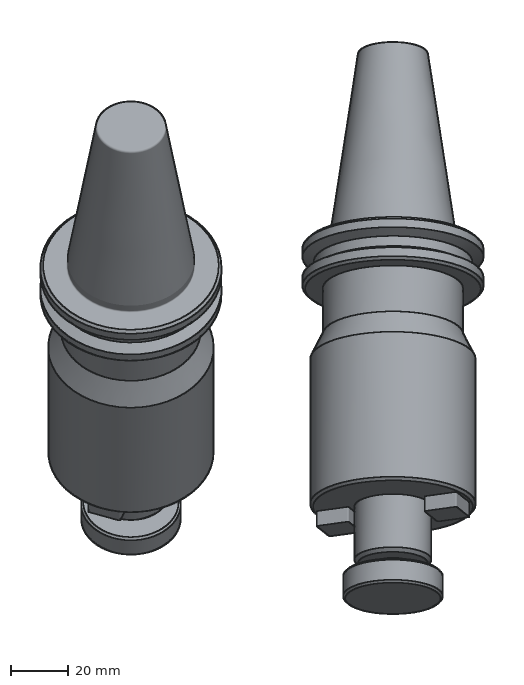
import cadquery as cq
import math

taper_length = 68.4
taper_rate = 7 / 24
gauge_radius = 44.45 / 2
tip_fillet = 0.8
taper_base_fillet = 0.5

flange_radius = 63.5 / 2
flange_top_z = -3.2
flange_bottom_z = -19.1
flange_chamfer = 1.0
groove_center_z = -11.1
groove_floor_width = 3.7
groove_floor_radius = 27.85
groove_flank_angle = 26

neck_radius = 49.2 / 2
neck_bottom_z = -36.1
body_radius = 58 / 2
body_top_z = -45.2
body_bottom_z = -100.0
body_chamfer = 1.0

pilot_radius = 27 / 2
pilot_length = 21.0
pilot_chamfer = 1.3

screw_end_z = -134.0
shank_radius = 12 / 2
head_radius = 35 / 2
head_height = 9.0
head_chamfer = 0.8
head_root_fillet = 0.5

key_width = 12.0
key_height = 5.5
key_outer_offset = 26.6
key_inner_offset = 14.4
key_corner_fillet = 0.4


def revolve_outline(profile):
    """Revolve a closed (radius, z) outline about the Z axis."""
    return cq.Workplane("XZ").polyline(profile).close().revolve(360, (0, 0), (0, 1))


def make_taper():
    """Tapered shank with a rounded tip and a short cylinder below the gauge plane."""
    tip_radius = gauge_radius - taper_length * taper_rate / 2
    profile = [
        (0, taper_length),
        (tip_radius, taper_length),
        (gauge_radius, 0),
        (gauge_radius, flange_top_z),
        (0, flange_top_z),
    ]
    return revolve_outline(profile).faces(">Z").edges().fillet(tip_fillet)


def make_flange():
    """Flange with chamfered rims and a V groove for the tool gripper."""
    flank_height = (flange_radius - groove_floor_radius) * math.tan(math.radians(groove_flank_angle))
    floor_top_z = groove_center_z + groove_floor_width / 2
    floor_bottom_z = groove_center_z - groove_floor_width / 2
    profile = [
        (0, flange_top_z),
        (flange_radius, flange_top_z),
        (flange_radius, floor_top_z + flank_height),
        (groove_floor_radius, floor_top_z),
        (groove_floor_radius, floor_bottom_z),
        (flange_radius, floor_bottom_z - flank_height),
        (flange_radius, flange_bottom_z),
        (0, flange_bottom_z),
    ]
    return revolve_outline(profile).faces("<Z or >Z").edges().chamfer(flange_chamfer)


def make_body():
    """Neck, conical shoulder, body and pilot below the flange."""
    pilot_bottom_z = body_bottom_z - pilot_length
    profile = [
        (0, flange_bottom_z),
        (neck_radius, flange_bottom_z),
        (neck_radius, neck_bottom_z),
        (body_radius, body_top_z),
        (body_radius, body_bottom_z + body_chamfer),
        (body_radius - body_chamfer, body_bottom_z),
        (pilot_radius, body_bottom_z),
        (pilot_radius, pilot_bottom_z + pilot_chamfer),
        (pilot_radius - pilot_chamfer, pilot_bottom_z),
        (0, pilot_bottom_z),
    ]
    return revolve_outline(profile)


def make_root_fillet(radius, base_z, fillet_radius):
    """Disc with a concave quarter-round rim, filling the corner at the foot of a cylinder."""
    mid_inset = fillet_radius * (1 - math.sqrt(0.5))
    section = cq.Workplane("XZ").moveTo(0, base_z).lineTo(radius + fillet_radius, base_z)
    section = section.threePointArc(
        (radius + mid_inset, base_z + mid_inset),
        (radius, base_z + fillet_radius),
    )
    return section.lineTo(0, base_z + fillet_radius).close().revolve(360, (0, 0), (0, 1))


def make_screw():
    """Clamping screw: a shank reaching up into the pilot and a chamfered disc head."""
    head_base = cq.Workplane("XY").workplane(offset=screw_end_z)
    shank = head_base.circle(shank_radius).extrude(body_bottom_z - screw_end_z)
    head = head_base.circle(head_radius).extrude(head_height).edges().chamfer(head_chamfer)
    root_fillet = make_root_fillet(shank_radius, screw_end_z + head_height, head_root_fillet)
    return head.union(shank).union(root_fillet)


def make_key(side):
    """Drive key with rounded upright corners on the +Y (side = 1) or -Y (side = -1) half."""
    radial_length = key_outer_offset - key_inner_offset
    key_center_y = side * (key_inner_offset + radial_length / 2)
    key_base = cq.Workplane("XY").workplane(offset=body_bottom_z).center(0, key_center_y)
    return key_base.rect(key_width, radial_length).extrude(-key_height).edges("|Z").fillet(key_corner_fillet)


result = make_taper().union(make_flange()).union(make_body()).union(make_screw())
result = result.union(make_root_fillet(gauge_radius, flange_top_z, taper_base_fillet))
for key_side in (1, -1):
    result = result.union(make_key(key_side))